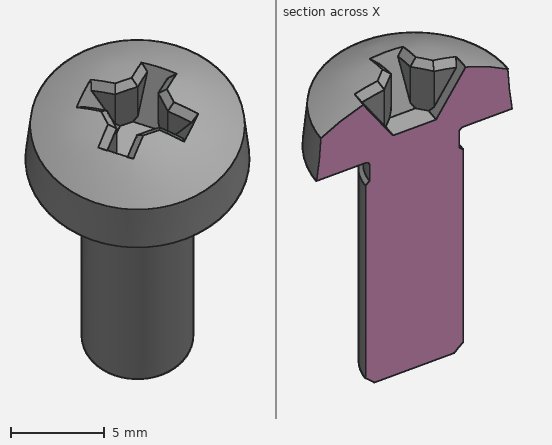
import cadquery as cq
import math

TOTAL_HEIGHT = 20.55
SHANK_LENGTH = 16.0
SHANK_RADIUS = 6.0 / 2
NECK_RADIUS = 5.5 / 2
NECK_LENGTH = 1.35
NECK_FILLET = 0.25
NECK_TAPER = SHANK_RADIUS - NECK_RADIUS
TIP_RADIUS = 2.45
TIP_LENGTH = 0.55

HEAD_RADIUS = 6.0
RIM_RADIUS = 5.74
RIM_HEIGHT = 2.98

SLOT_HALF_WIDTH = 0.585
CORE_CORNER = 1.52
FLOOR_HALF = 1.32
WING_REACH = 3.13
RECESS_DEPTH = 3.29
EDGE_CHAMFER = 0.43
CORE_HALF = (SLOT_HALF_WIDTH + CORE_CORNER) / math.sqrt(2)
DOME_TOLERANCE = 0.002

HIGH_POINT_HEIGHT = TOTAL_HEIGHT - SHANK_LENGTH
HIGH_POINT_RADIUS = CORE_HALF + EDGE_CHAMFER

RISE = HIGH_POINT_HEIGHT - RIM_HEIGHT
DOME_CENTER = (HIGH_POINT_HEIGHT + RIM_HEIGHT) / 2 - (RIM_RADIUS**2 - HIGH_POINT_RADIUS**2) / (2 * RISE)
DOME_RADIUS = math.hypot(RIM_RADIUS, RIM_HEIGHT - DOME_CENTER)


def dome_height(radius):
    return DOME_CENTER + math.sqrt(DOME_RADIUS**2 - radius**2)


def make_body():
    """Revolve the half profile of shank, neck and domed head."""
    fillet_bulge = NECK_FILLET * (1 - math.sqrt(0.5))
    return (
        cq.Workplane("XZ")
        .moveTo(0, -SHANK_LENGTH)
        .lineTo(TIP_RADIUS, -SHANK_LENGTH)
        .lineTo(SHANK_RADIUS, -SHANK_LENGTH + TIP_LENGTH)
        .lineTo(SHANK_RADIUS, -NECK_LENGTH - NECK_TAPER)
        .lineTo(NECK_RADIUS, -NECK_LENGTH)
        .lineTo(NECK_RADIUS, -NECK_FILLET)
        .threePointArc(
            (NECK_RADIUS + fillet_bulge, -fillet_bulge),
            (NECK_RADIUS + NECK_FILLET, 0),
        )
        .lineTo(HEAD_RADIUS, 0)
        .lineTo(RIM_RADIUS, RIM_HEIGHT)
        .threePointArc(
            (RIM_RADIUS / 2, dome_height(RIM_RADIUS / 2)),
            (0, dome_height(0)),
        )
        .close()
        .revolve(360, (0, 0, 0), (0, 1, 0))
    )


def make_recess_cutter():
    """Cross with diagonal core walls, bounded by sloping wing ends."""
    floor_height = HIGH_POINT_HEIGHT - RECESS_DEPTH
    end_slope = (WING_REACH - FLOOR_HALF) / (dome_height(WING_REACH) - floor_height)
    cutter_height = 2 * RECESS_DEPTH
    top_half = FLOOR_HALF + end_slope * cutter_height

    base = cq.Workplane("XY").workplane(offset=floor_height)
    core = base.transformed(rotate=(0, 0, 45)).rect(2 * CORE_HALF, 2 * CORE_HALF).extrude(cutter_height)
    slot_x = base.rect(2 * top_half, 2 * SLOT_HALF_WIDTH).extrude(cutter_height)
    slot_y = base.rect(2 * SLOT_HALF_WIDTH, 2 * top_half).extrude(cutter_height)
    sloped_ends = (
        base.rect(2 * FLOOR_HALF, 2 * FLOOR_HALF)
        .workplane(offset=cutter_height)
        .rect(2 * top_half, 2 * top_half)
        .loft(ruled=True)
    )
    return core.union(slot_x).union(slot_y).intersect(sloped_ends)


def is_side_mouth_edge(edge):
    """True where a vertical recess wall meets the dome, which excludes the wing ends."""
    middle = edge.positionAt(0.5)
    radius = math.hypot(middle.x, middle.y)
    on_dome = abs(middle.z - dome_height(radius)) < DOME_TOLERANCE
    return on_dome and radius < WING_REACH - DOME_TOLERANCE


screw = make_body().cut(make_recess_cutter())
result = screw.edges().filter(is_side_mouth_edge).chamfer(EDGE_CHAMFER)